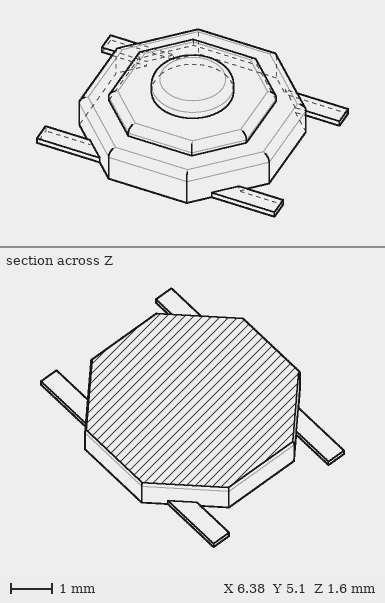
import cadquery as cq

edge_radius = 0.2

body_width = 5.1
body_corner_cut = 1.5
body_top = 0.9

cover_width = 3.7
cover_corner_cut = 1.0
cover_top = 1.2

button_diameter = 2.0
button_top = 1.6

terminal_span = 6.38
terminal_width = 0.5
terminal_thickness = 0.15
terminal_offset = 1.85


def octagonal_plate(width, corner_cut, bottom, top):
    """Square plate with cut corners and a rounded top rim."""
    return (
        cq.Workplane("XY", origin=(0, 0, bottom))
        .rect(width, width)
        .extrude(top - bottom)
        .edges("|Z")
        .chamfer(corner_cut)
        .faces(">Z")
        .edges()
        .fillet(edge_radius)
    )


def push_button():
    """Round button with a rounded top rim."""
    return (
        cq.Workplane("XY", origin=(0, 0, cover_top))
        .circle(button_diameter / 2)
        .extrude(button_top - cover_top)
        .faces(">Z")
        .edges()
        .fillet(edge_radius)
    )


def terminals():
    """Two flat strips whose ends stick out on both sides of the housing."""
    return (
        cq.Workplane("XY")
        .pushPoints([(0, -terminal_offset), (0, terminal_offset)])
        .rect(terminal_span, terminal_width)
        .extrude(terminal_thickness)
    )


body = octagonal_plate(body_width, body_corner_cut, 0, body_top)
cover = octagonal_plate(cover_width, cover_corner_cut, body_top, cover_top)

result = body.union(cover).union(push_button()).union(terminals())